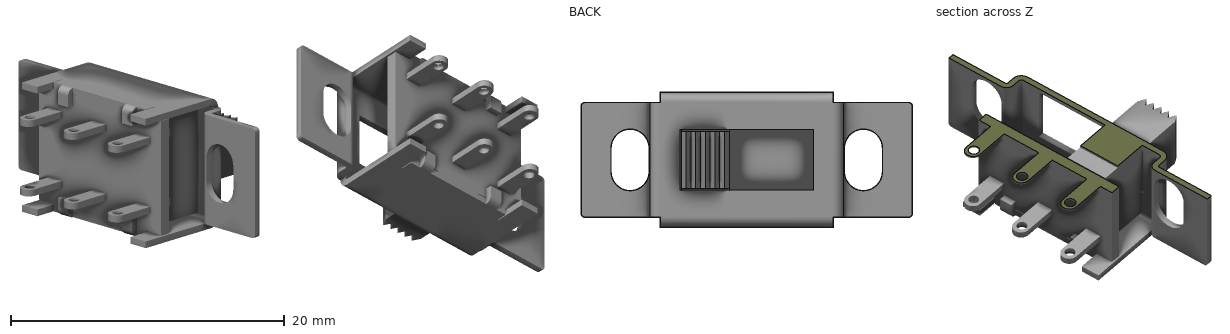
import cadquery as cq
import math


sheet = 0.5
overall_length = 24.2
overall_depth = 13.3
bracket_length = 12.65
bracket_height = 9.9
bend_outer = 0.75
bend_inner = bend_outer - sheet
leg_depth = 7.53
leg_inner_x = 4.77

ear_height = bracket_height - 2 * bend_outer
ear_back_y = -2.03
ear_front_y = ear_back_y + sheet
foot_inner = 0.12
foot_outer = foot_inner + sheet
ear_corner = 0.3
ear_slot_x = 8.52
ear_slot_width = 2.75
ear_slot_height = 4.48

window_length = 9.73
window_height = 4.4
slider_x = 3.02
slider_width = 3.5
stem_height = 4.16
stem_tip_y = 4.0
tooth_count = 5
tooth_depth = 0.65
slider_height = 8.28
slider_back_y = -4.77
groove_width = 0.6
groove_floor_y = -3.36

base_back_y = -5.85
base_thickness = 0.87
base_front_y = base_back_y + base_thickness
base_gap = 0.07
base_length = 12.46
base_height = bracket_height - 2 * sheet - 2 * base_gap

tab_inner_x = 1.98
tab_outer_x = 3.8
crimp_width = 1.05
crimp_length = 1.38

terminal_pitch = 4.5
terminal_row_z = 2.65
terminal_width = 1.3
terminal_thickness = 0.5
terminal_end_y = stem_tip_y - overall_depth
terminal_hole = 0.8
terminal_hole_y = -8.57


def box(x0, x1, y0, y1, z0, z1):
    """Box between two opposite corners."""
    return cq.Workplane("XY").box(x1 - x0, y1 - y0, z1 - z0, centered=False).translate((x0, y0, z0))


def on_both_ends(body):
    """Body together with its mirror image across X = 0."""
    return body.union(body.mirror("YZ"))


def on_both_sides(body):
    """Body together with its mirror image across Z = 0."""
    return body.union(body.mirror("XY"))


def arc_middle(center, radius, degrees):
    """Point halfway along a bend, at the given angle around its center."""
    angle = math.radians(degrees)
    return (center[0] + radius * math.cos(angle), center[1] + radius * math.sin(angle))


def make_shell():
    """U-shaped channel: front plate with two bent walls, narrowing to legs, base stops and tabs."""
    half = bracket_height / 2
    bend = (-bend_outer, half - bend_outer)
    upper_half = (
        cq.Workplane("YZ")
        .moveTo(0, 0)
        .lineTo(0, bend[1])
        .threePointArc(arc_middle(bend, bend_outer, 45), (bend[0], half))
        .lineTo(-leg_depth, half)
        .lineTo(-leg_depth, half - sheet)
        .lineTo(bend[0], half - sheet)
        .threePointArc(arc_middle(bend, bend_inner, 45), (-sheet, bend[1]))
        .lineTo(-sheet, 0)
        .close()
        .extrude(bracket_length / 2, both=True)
    )
    shell = on_both_sides(upper_half)

    between_legs = box(-leg_inner_x, leg_inner_x, -leg_depth, base_front_y, -half, half)
    shell = shell.cut(between_legs)
    wall_tab = box(tab_inner_x, tab_outer_x, base_back_y, base_front_y, half - sheet, half)
    shell = shell.union(on_both_sides(on_both_ends(wall_tab)))

    window = box(-window_length / 2, window_length / 2, -sheet, 0, -window_height / 2, window_height / 2)
    return shell.cut(window)


def make_ear():
    """Z-bent mounting ear on the +X end, with rounded corners and an upright slot."""
    start_x = bracket_length / 2
    shoulder = (start_x, -bend_outer)
    riser_in = start_x + bend_inner
    riser_out = start_x + bend_outer
    foot = (riser_out + foot_inner, ear_front_y + foot_inner)
    end_x = overall_length / 2
    ear = (
        cq.Workplane("XY")
        .moveTo(start_x, 0)
        .threePointArc(arc_middle(shoulder, bend_outer, 45), (riser_out, shoulder[1]))
        .lineTo(riser_out, foot[1])
        .threePointArc(arc_middle(foot, foot_inner, 225), (foot[0], ear_front_y))
        .lineTo(end_x, ear_front_y)
        .lineTo(end_x, ear_back_y)
        .lineTo(foot[0], ear_back_y)
        .threePointArc(arc_middle(foot, foot_outer, 225), (riser_in, foot[1]))
        .lineTo(riser_in, shoulder[1])
        .threePointArc(arc_middle(shoulder, bend_inner, 45), (start_x, -sheet))
        .close()
        .extrude(ear_height / 2, both=True)
        .faces(">X")
        .edges("|Y")
        .fillet(ear_corner)
    )
    slot = (
        cq.Workplane("XZ")
        .center(ear_slot_x, 0)
        .slot2D(ear_slot_height, ear_slot_width, 90)
        .extrude(-ear_back_y)
    )
    return ear.cut(slot)


def make_slider():
    """Actuator stem with a toothed tip, and its taller grooved body behind the front plate."""
    pitch = slider_width / tooth_count
    valley_y = stem_tip_y - tooth_depth
    left_x = slider_x - slider_width / 2
    right_x = slider_x + slider_width / 2
    outline = [(left_x, -sheet), (left_x, valley_y)]
    for tooth in range(tooth_count):
        tooth_x = left_x + tooth * pitch
        outline.append((tooth_x + pitch / 2, stem_tip_y))
        outline.append((tooth_x + pitch, valley_y))
    outline.append((right_x, -sheet))
    stem = cq.Workplane("XY").polyline(outline).close().extrude(stem_height / 2, both=True)

    body = box(left_x, right_x, slider_back_y, -sheet, -slider_height / 2, slider_height / 2)
    groove = box(
        left_x, right_x, slider_back_y, groove_floor_y,
        terminal_row_z - groove_width / 2, terminal_row_z + groove_width / 2,
    )
    return stem.union(body.cut(on_both_sides(groove)))


def make_base():
    """Terminal plate inside the channel, with lugs filling the gaps between legs and tabs."""
    half_length = base_length / 2
    half_height = base_height / 2
    lug_z = bracket_height / 2
    lug_end_x = leg_inner_x - base_gap
    plate = box(-half_length, half_length, base_back_y, base_front_y, -half_height, half_height)
    middle_lug = box(-tab_inner_x, tab_inner_x, base_back_y, base_front_y, -lug_z, lug_z)
    end_lug = box(tab_outer_x, lug_end_x, base_back_y, base_front_y, -lug_z, lug_z)
    return plate.union(middle_lug).union(on_both_ends(end_lug))


def make_crimp():
    """Strip of one wall tab folded over the back of the base, on the +X, +Z corner."""
    top_z = bracket_height / 2
    fold = (base_back_y, top_z - sheet)
    return (
        cq.Workplane("YZ", origin=(tab_outer_x - crimp_width, 0, 0))
        .moveTo(base_back_y, top_z)
        .threePointArc(arc_middle(fold, sheet, 135), (base_back_y - sheet, fold[1]))
        .lineTo(base_back_y - sheet, top_z - crimp_length)
        .lineTo(base_back_y, top_z - crimp_length)
        .close()
        .extrude(crimp_width)
    )


def make_terminal(x, z):
    """Flat solder lug with a rounded, pierced end."""
    radius = terminal_width / 2
    blade = (
        cq.Workplane("XY")
        .moveTo(-radius, base_back_y)
        .lineTo(-radius, terminal_end_y + radius)
        .threePointArc((0, terminal_end_y), (radius, terminal_end_y + radius))
        .lineTo(radius, base_back_y)
        .close()
        .extrude(terminal_thickness / 2, both=True)
    )
    hole = (
        cq.Workplane("XY")
        .center(0, terminal_hole_y)
        .circle(terminal_hole / 2)
        .extrude(terminal_thickness, both=True)
    )
    return blade.cut(hole).translate((x, 0, z))


result = (
    make_shell()
    .union(on_both_ends(make_ear()))
    .union(make_slider())
    .union(make_base())
    .union(on_both_sides(on_both_ends(make_crimp())))
)
for x in (-terminal_pitch, 0, terminal_pitch):
    for z in (-terminal_row_z, terminal_row_z):
        result = result.union(make_terminal(x, z))